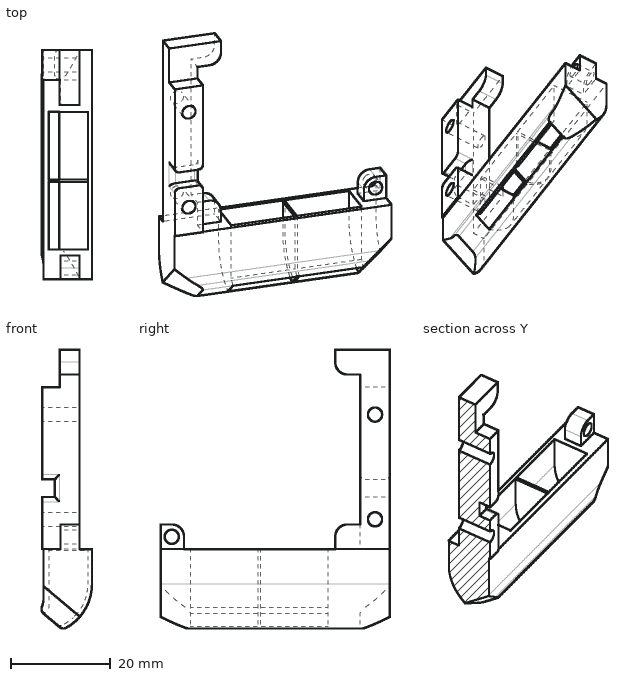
import cadquery as cq
import math


length = 46.0
body_left = 0.25
body_right = 10.0
back_arc_radius = 10.0
back_arc_start_z = -7.0
underside_angle = math.radians(40)
underside_distance = 9.71
tip_radius = 1.1

lip_left = -0.16
lip_radius = 1.2
lip_hollow_radius = 5.0

end_cut_length = 6.0
end_cut_depth = 4.2

cells_start_y = 6.0
cell_length = 13.55
cell_count = 2
rib_thickness = 0.5
rib_drop = 0.25
cell_left = 1.35
back_wall = 0.85
window_left = 0.3

arm_left = 3.5
arm_right = 7.5
arm_width = 6.0
arm_height = 40.0
pad_height = 32.5
screw_hole_diameter = 2.8
screw_hole_inset = 3.0
screw_hole_heights = (6.0, 27.0)

notch_bottom = 10.5
notch_top = 14.0
notch_depth = 2.5
notch_rounding = 1.0

tab_left = 3.65
tab_height = 5.0
tab_reach = 5.0
tab_radius = 2.5
eye_tab_length = 4.75

slope_x = math.cos(underside_angle)
slope_z = -math.sin(underside_angle)
out_x = -math.sin(underside_angle)
out_z = -math.cos(underside_angle)

back_arc_center_x = body_right - back_arc_radius
arm_near_y = length - arm_width


def underside_z(x):
    """Height of the underside plane at a given X."""
    return (underside_distance - x * out_x) / out_z


def back_arc_point(radius, angle):
    """Point on a circle about the back arc centre; the angle is measured below +X."""
    return (
        back_arc_center_x + radius * math.cos(angle),
        back_arc_start_z - radius * math.sin(angle),
    )


def back_arc_end_angle(radius):
    """Angle at which a circle about the back arc centre meets the underside."""
    center_distance = back_arc_center_x * out_x + back_arc_start_z * out_z
    out_angle = math.pi / 2 + underside_angle
    return out_angle - math.acos((underside_distance - center_distance) / radius)


def box(x0, x1, y0, y1, z0, z1):
    return cq.Workplane("XY").box(x1 - x0, y1 - y0, z1 - z0, centered=False).translate((x0, y0, z0))


def extrude_along_y(profile, y0, y1):
    """Extrude a closed X/Z profile between two Y positions."""
    return profile.extrude(-(y1 - y0)).translate((0, y0, 0))


def cross_hole(y, z):
    """Cutter for a screw hole running along X."""
    return cq.Workplane("YZ").center(y, z).circle(screw_hole_diameter / 2).extrude(arm_right)


def make_body():
    lip_x = lip_left + lip_radius
    lip_z = (underside_distance - lip_radius - lip_x * out_x) / out_z
    hollow_x = body_left - lip_hollow_radius
    center_gap = lip_hollow_radius + lip_radius
    hollow_z = lip_z + math.sqrt(center_gap ** 2 - (lip_x - hollow_x) ** 2)
    hollow_angle = math.atan2(hollow_z - lip_z, lip_x - hollow_x)

    def hollow_point(angle):
        return (
            hollow_x + lip_hollow_radius * math.cos(angle),
            hollow_z - lip_hollow_radius * math.sin(angle),
        )

    lip_end = (lip_x + lip_radius * out_x, lip_z + lip_radius * out_z)
    tip_angle = back_arc_end_angle(back_arc_radius)
    tip = back_arc_point(back_arc_radius, tip_angle)
    profile = (
        cq.Workplane("XZ")
        .moveTo(body_left, 0)
        .lineTo(body_right, 0)
        .lineTo(body_right, back_arc_start_z)
        .threePointArc(back_arc_point(back_arc_radius, tip_angle / 2), tip)
        .lineTo(*lip_end)
        .threePointArc((lip_left, lip_z), hollow_point(hollow_angle))
        .threePointArc(hollow_point(hollow_angle / 2), (body_left, hollow_z))
        .close()
    )
    body = extrude_along_y(profile, 0, length)
    tip_edge = cq.selectors.NearestToPointSelector((tip[0], length / 2, tip[1]))
    return body.edges("|Y").edges(tip_edge).fillet(tip_radius)


def make_end_cuts():
    """Wedges that slope the underside up towards both ends of the body."""
    underside = cq.Plane(
        origin=(underside_distance * out_x, 0, underside_distance * out_z),
        xDir=(0, 1, 0),
        normal=(slope_x, 0, slope_z),
    )
    reach = 2 * back_arc_radius
    near = (
        cq.Workplane(underside)
        .polyline([(0, end_cut_depth), (end_cut_length, 0), (0, 0)]).close()
        .extrude(reach, both=True)
    )
    return near.union(near.mirror("XZ", (0, length / 2, 0)))


def make_cells():
    inner_radius = back_arc_radius - back_wall
    end_angle = back_arc_end_angle(inner_radius)
    arc_end = back_arc_point(inner_radius, end_angle)
    window_z = underside_z(window_left)
    window_rise = (cell_left - window_left) * out_z / out_x
    profile = (
        cq.Workplane("XZ")
        .moveTo(cell_left, 0)
        .lineTo(body_right - back_wall, 0)
        .lineTo(body_right - back_wall, back_arc_start_z)
        .threePointArc(back_arc_point(inner_radius, end_angle / 2), arc_end)
        .lineTo(window_left, window_z)
        .lineTo(cell_left, window_z + window_rise)
        .close()
    )
    cell = extrude_along_y(profile, cells_start_y, cells_start_y + cell_length)
    cells = cell
    for index in range(1, cell_count):
        cells = cells.union(cell.translate((0, index * (cell_length + rib_thickness), 0)))
    cells_end_y = cells_start_y + cell_count * cell_length + (cell_count - 1) * rib_thickness
    rib_clearance = box(cell_left, body_right - back_wall, cells_start_y, cells_end_y, -rib_drop, 0)
    return cells.union(rib_clearance)


def make_arm():
    arm = box(arm_left, arm_right, arm_near_y, length, 0, arm_height)
    pad = box(0, arm_left, arm_near_y, length, 0, pad_height)
    hook = box(arm_left, arm_right, arm_near_y - tab_reach, length, arm_height - tab_height, arm_height)
    hook = hook.edges("|X and <Y and <Z").fillet(tab_radius)
    arm = arm.union(pad).union(hook)
    for height in screw_hole_heights:
        arm = arm.cut(cross_hole(length - screw_hole_inset, height))
    return arm.cut(make_notch())


def make_notch():
    """Slot through the pad whose mouths are rounded outwards at both Y faces."""
    reach = notch_depth + notch_rounding
    notch = box(0, notch_depth, arm_near_y, length, notch_bottom, notch_top)
    mouth = box(
        0, reach, arm_near_y, arm_near_y + notch_rounding,
        notch_bottom - notch_rounding, notch_top + notch_rounding,
    )
    rounding_y = arm_near_y + notch_rounding
    for z in (notch_bottom - notch_rounding, notch_top + notch_rounding):
        roll = cq.Workplane("YZ").center(rounding_y, z).circle(notch_rounding).extrude(reach)
        mouth = mouth.cut(roll)
    floor_roll = (
        cq.Workplane("XY").center(reach, rounding_y).circle(notch_rounding)
        .extrude(arm_height)
    )
    mouth = mouth.cut(floor_roll)
    far_mouth = mouth.mirror("XZ", (0, length - arm_width / 2, 0))
    return notch.union(mouth).union(far_mouth)


def make_arm_tab():
    tab = box(tab_left, arm_right, arm_near_y - tab_reach, arm_near_y, 0, tab_height)
    return tab.edges("|X and <Y and >Z").fillet(tab_radius)


def make_eye_tab():
    tab = box(tab_left, arm_right, 0, eye_tab_length, 0, tab_height)
    tab = tab.edges("|X and >Y and >Z").fillet(tab_radius)
    return tab.cut(cross_hole(eye_tab_length - tab_radius, tab_height - tab_radius))


body = make_body().cut(make_end_cuts()).cut(make_cells())
result = body.union(make_arm()).union(make_arm_tab()).union(make_eye_tab())